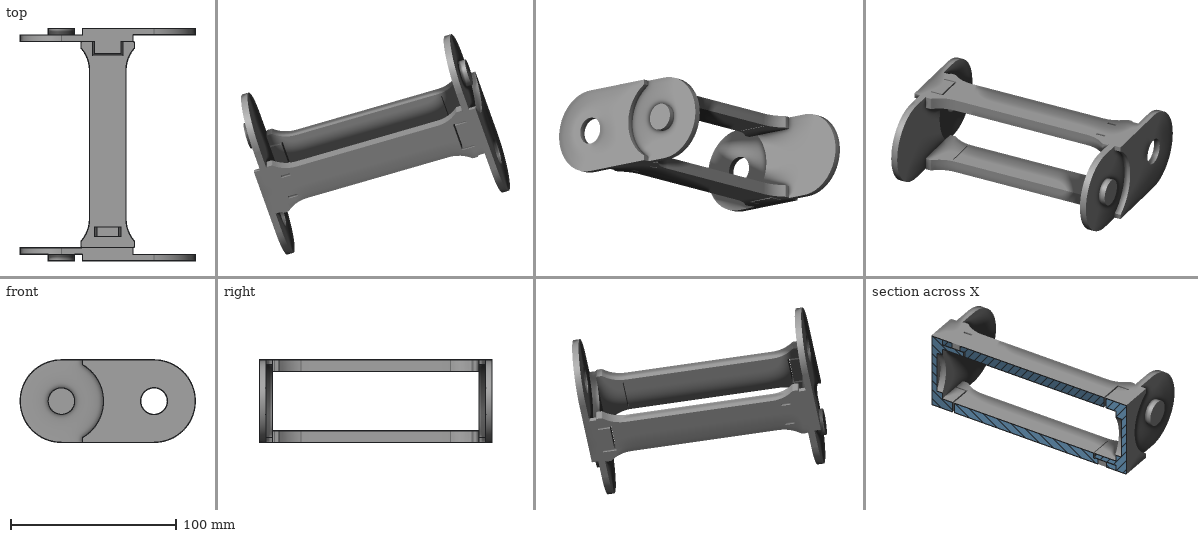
import cadquery as cq

link_width = 140.6
link_height = 50.0
link_length = 106.0
lug_radius = link_height / 2
pitch = link_length - link_height

inner_layer = 4.1
outer_layer = 4.0
plate_inner_y = link_width / 2 - inner_layer - outer_layer
plate_mid_y = plate_inner_y + inner_layer
pin_diameter = 16.0
layer_overlap = 30.6
neighbour_clearance = 0.4

bar_thickness = 7.2
bar_length = 2 * plate_inner_y
bar_top = link_height / 2
bar_bottom = bar_top - bar_thickness
shank_width = 22.2
flange_width = 32.6
flange_length = 3.8
flare_radius = 20.0
corner_radius = 1.0

pocket_width = 18.1
hinge_tab_width = 16.0
hinge_tab_length = 7.2
hinge_clearance = (pocket_width - hinge_tab_width) / 2
tongue_length = 15.2
tongue_thickness = bar_thickness / 2
tongue_end_clearance = 0.5
window_width = 16.0
catch_width = 13.0
catch_length = 5.6
catch_setback = 6.7


def span_box(x_size, y_range, z_range):
    """Box centred on X = 0 that fills the given Y and Z ranges."""
    y_size = y_range[1] - y_range[0]
    z_size = z_range[1] - z_range[0]
    box = cq.Workplane("XY").box(x_size, y_size, z_size, centered=(True, False, False))
    return box.translate((0, y_range[0], z_range[0]))


def disc(x, radius, y_start, y_end):
    """Cylinder along Y with its axis at the given X."""
    plane = cq.Workplane("XZ", origin=(0, y_start, 0))
    return plane.center(x, 0).circle(radius).extrude(y_start - y_end)


def plate_layer(lug_side, y_start, y_end):
    """Layer with a round lug on one side and a round clearance for the next link on the other."""
    lug_x = lug_side * pitch / 2
    straight_end = -lug_side * layer_overlap / 2
    straight = span_box(
        abs(lug_x - straight_end), (y_start, y_end), (-lug_radius, lug_radius)
    ).translate(((lug_x + straight_end) / 2, 0, 0))
    neighbour = disc(-lug_x, lug_radius + neighbour_clearance, y_start, y_end)
    return straight.cut(neighbour).union(disc(lug_x, lug_radius, y_start, y_end))


def hinge_tab():
    """Full-thickness tab at the top of the plate."""
    y_range = (plate_inner_y - hinge_tab_length, plate_mid_y)
    return span_box(hinge_tab_width, y_range, (bar_bottom, bar_top))


def snap_tongue():
    """Tongue at the bottom of the plate, with a catch that fills the height of the bar."""
    tongue_y = (plate_inner_y - tongue_length, plate_mid_y)
    tongue = span_box(pocket_width, tongue_y, (-bar_bottom - tongue_thickness, -bar_bottom))
    catch_end = plate_inner_y - catch_setback
    catch = span_box(catch_width, (catch_end - catch_length, catch_end), (-bar_top, -bar_bottom))
    return tongue.union(catch)


def side_plate():
    """Plate on the +Y side: pin on the -X lug, hole in the +X lug, one tab for each bar."""
    layers = plate_layer(-1, plate_inner_y, plate_mid_y)
    layers = layers.union(plate_layer(1, plate_mid_y, link_width / 2))
    layers = layers.union(disc(-pitch / 2, pin_diameter / 2, plate_mid_y, link_width / 2))
    layers = layers.cut(disc(pitch / 2, pin_diameter / 2, plate_mid_y, link_width / 2))
    return layers.union(hinge_tab()).union(snap_tongue())


def bar_blank():
    """Bar that flares into a wider flange at both ends through concave arcs."""
    half_shank = shank_width / 2
    half_flange = flange_width / 2
    end_y = bar_length / 2
    flare_start = end_y - flange_length
    flare_depth = half_flange - half_shank
    flare_length = (2 * flare_radius * flare_depth - flare_depth**2) ** 0.5
    flare_end = flare_start - flare_length

    blank = (
        cq.Workplane("XY", origin=(0, 0, bar_bottom))
        .moveTo(half_shank, -flare_end)
        .lineTo(half_shank, flare_end)
        .radiusArc((half_flange, flare_start), flare_radius)
        .lineTo(half_flange, end_y)
        .lineTo(-half_flange, end_y)
        .lineTo(-half_flange, flare_start)
        .radiusArc((-half_shank, flare_end), flare_radius)
        .lineTo(-half_shank, -flare_end)
        .radiusArc((-half_flange, -flare_start), flare_radius)
        .lineTo(-half_flange, -end_y)
        .lineTo(half_flange, -end_y)
        .lineTo(half_flange, -flare_start)
        .radiusArc((half_shank, -flare_end), flare_radius)
        .close()
        .extrude(bar_thickness)
    )
    return blank.edges("|Z").edges(">X or <X").fillet(corner_radius)


def cross_bar():
    """Top bar: hinge notch at the +Y end, snap pocket and window at the -Y end."""
    end_y = bar_length / 2
    notch_start = end_y - hinge_tab_length - hinge_clearance
    notch = span_box(pocket_width, (notch_start, end_y), (bar_bottom, bar_top))
    pocket_end = -end_y + tongue_length + tongue_end_clearance
    pocket = span_box(pocket_width, (-end_y, pocket_end), (bar_bottom, bar_bottom + tongue_thickness))
    window_start = -end_y + catch_setback
    window = span_box(window_width, (window_start, window_start + catch_length), (bar_bottom, bar_top))
    return bar_blank().cut(notch).cut(pocket).cut(window)


def half_turn(body):
    """Copy of the body turned half a turn about the X axis."""
    return body.rotate((0, 0, 0), (1, 0, 0), 180)


plate = side_plate()
bar = cross_bar()
bodies = []
for body in (plate, bar):
    bodies.append(body.val())
    bodies.append(half_turn(body).val())

result = cq.Compound.makeCompound(bodies)